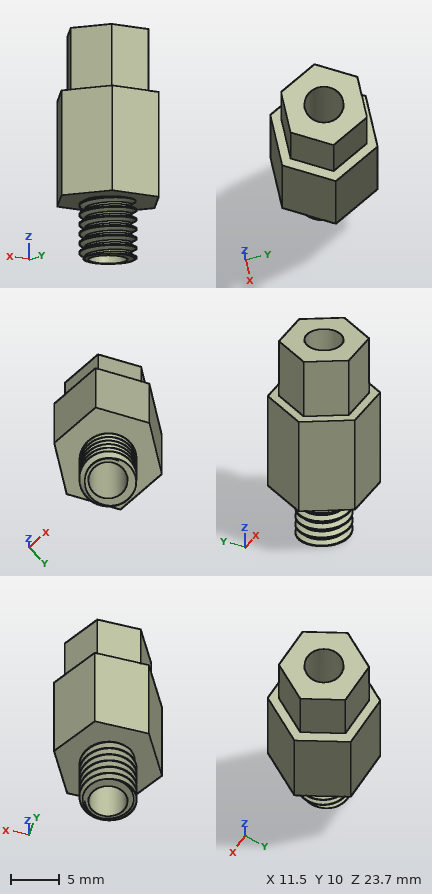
import cadquery as cq
import math

total_height = 23.7
stud_length = 6.05
shoulder_height = 17.02

body_across_flats = 10.0
head_across_flats = 8.0
bore_diameter = 4.0

major_diameter = 5.88
root_diameter = 4.75
pitch = 1.0
crest_width = 0.12
flank_angle = 30.0
first_crest_height = 0.78
lead_in_turns = 2
ridge_embed = 0.12


def hex_prism(across_flats, bottom, top):
    """Hexagonal prism with corners on the X axis."""
    across_corners = across_flats / math.cos(math.radians(30))
    return cq.Workplane("XY").workplane(offset=bottom).polygon(6, across_corners).extrude(top - bottom)


def thread_ridge():
    """Helical trapezoid that runs past both ends of the stud."""
    start = first_crest_height - lead_in_turns * pitch
    turns = math.ceil((stud_length - start) / pitch)
    foot_radius = root_diameter / 2 - ridge_embed
    crest_radius = major_diameter / 2
    half_crest = crest_width / 2
    half_foot = half_crest + (crest_radius - foot_radius) * math.tan(math.radians(flank_angle))
    profile = [
        (foot_radius, start - half_foot),
        (crest_radius, start - half_crest),
        (crest_radius, start + half_crest),
        (foot_radius, start + half_foot),
    ]
    helix = cq.Wire.makeHelix(pitch, turns * pitch, foot_radius, center=cq.Vector(0, 0, start))
    return cq.Workplane("XZ").polyline(profile).close().sweep(cq.Workplane(obj=helix), isFrenet=True)


def threaded_stud():
    """Root cylinder with the ridge, cut flat at the tip and the shoulder."""
    core = cq.Workplane("XY").circle(root_diameter / 2).extrude(stud_length)
    envelope = cq.Workplane("XY").circle(major_diameter).extrude(stud_length)
    return core.union(thread_ridge().intersect(envelope))


body = hex_prism(body_across_flats, stud_length, shoulder_height)
head = hex_prism(head_across_flats, shoulder_height, total_height)
bore = cq.Workplane("XY").circle(bore_diameter / 2).extrude(total_height)

result = threaded_stud().union(body).union(head).cut(bore)